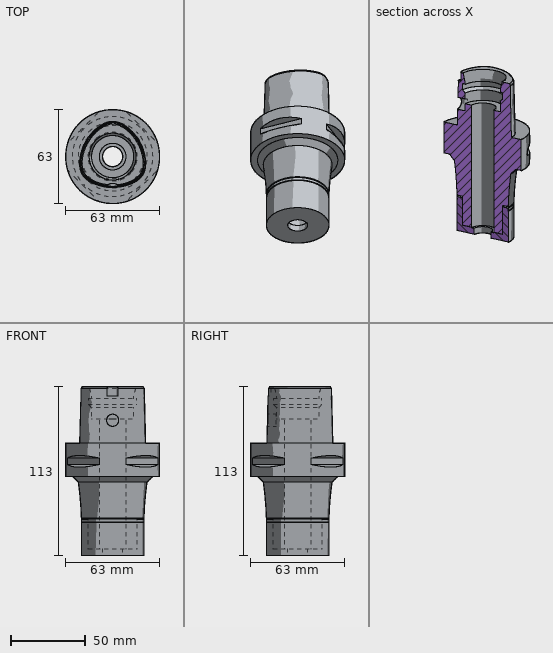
import cadquery as cq
import math

TOTAL_HEIGHT = 113.0
FLANGE_TOP = 75.1
FLANGE_BOTTOM = 52.9
COLLAR_BOTTOM = 49.0
SKIRT_BOTTOM = 25.1
NUT_TOP = 24.4

SHANK_BASE_RADIUS = 22.1
LOBE_HEIGHT = 1.5
SHANK_TAPER = 1 / 40
SHANK_CHAMFER_HEIGHT = 1.4
SHANK_CHAMFER_WIDTH = 0.8

FLANGE_RADIUS = 31.5
COLLAR_TOP_RADIUS = 26.9
SKIRT_TOP_RADIUS = 23.0
SKIRT_BOTTOM_RADIUS = 21.0
SKIRT_HOLLOW = 0.3
NECK_RADIUS = 16.4

GROOVE_COUNT = 4
GROOVE_FLOOR_DISTANCE = 27.7
GROOVE_FLOOR_HEIGHT = 4.2
GROOVE_MOUTH_HEIGHT = 7.8
GROOVE_CENTRE_Z = 63.0

MOUTH_RADIUS = 15.7
BORE_RADIUS = 14.1
MOUTH_DEPTH = 6.2
UNDERCUT_RADIUS = 16.0
UNDERCUT_TOP_DEPTH = 7.9
UNDERCUT_BOTTOM_DEPTH = 12.1
UNDERCUT_END_DEPTH = UNDERCUT_BOTTOM_DEPTH + UNDERCUT_RADIUS - BORE_RADIUS
BORE_FLOOR_Z = 91.5
CHANNEL_RADIUS = 8.9

NOTCH_WIDTH = 7.5
NOTCH_DEPTH = 6.2
NOTCH_BACK_Y = -17.9
NOTCH_EDGE_Y = -19.4
NOTCH_OUTER_Y = -FLANGE_RADIUS
CROSS_HOLE_RADIUS = 4.1
CROSS_HOLE_Z = 90.5
CROSS_HOLE_FLOOR_Y = -14.6

NUT_RADIUS = 21.0
NUT_WALL = 4.5
NUT_HOLE_RADIUS = 6.7
NUT_LINE_Z = 22.4
NUT_LINE_WIDTH = 0.3
NUT_LINE_DEPTH = 0.2


def lobed_wire(mean_radius, z):
    """Constant-width curve with three lobes, one of them pointing to +Y."""
    def point(angle):
        support = mean_radius - LOBE_HEIGHT * math.sin(3 * angle)
        slope = -3 * LOBE_HEIGHT * math.cos(3 * angle)
        x = support * math.cos(angle) - slope * math.sin(angle)
        y = support * math.sin(angle) + slope * math.cos(angle)
        return x, y, z

    samples = 48
    points = [cq.Vector(*point(2 * math.pi * i / samples)) for i in range(samples)]
    return cq.Wire.assembleEdges([cq.Edge.makeSpline(points, periodic=True)])


def make_shank():
    chamfer_z = TOTAL_HEIGHT - SHANK_CHAMFER_HEIGHT
    shoulder_radius = SHANK_BASE_RADIUS - SHANK_TAPER * (chamfer_z - FLANGE_TOP)
    base = lobed_wire(SHANK_BASE_RADIUS, FLANGE_TOP)
    shoulder = lobed_wire(shoulder_radius, chamfer_z)
    tip = lobed_wire(shoulder_radius - SHANK_CHAMFER_WIDTH, TOTAL_HEIGHT)
    taper = cq.Solid.makeLoft([base, shoulder], True)
    chamfer = cq.Solid.makeLoft([shoulder, tip], True)
    return cq.Workplane(taper).union(cq.Workplane(chamfer))


def make_lower_body():
    """Flange, collar, flared skirt and the neck that enters the nut."""
    skirt_mid_radius = (SKIRT_TOP_RADIUS + SKIRT_BOTTOM_RADIUS) / 2 - SKIRT_HOLLOW
    skirt_mid_z = (COLLAR_BOTTOM + SKIRT_BOTTOM) / 2
    return (
        cq.Workplane("XZ")
        .moveTo(0, FLANGE_TOP)
        .lineTo(FLANGE_RADIUS, FLANGE_TOP)
        .lineTo(FLANGE_RADIUS, FLANGE_BOTTOM)
        .lineTo(COLLAR_TOP_RADIUS, FLANGE_BOTTOM)
        .lineTo(SKIRT_TOP_RADIUS, COLLAR_BOTTOM)
        .threePointArc((skirt_mid_radius, skirt_mid_z), (SKIRT_BOTTOM_RADIUS, SKIRT_BOTTOM))
        .lineTo(NECK_RADIUS, SKIRT_BOTTOM)
        .lineTo(NECK_RADIUS, NUT_WALL)
        .lineTo(0, NUT_WALL)
        .close()
        .revolve(360, (0, 0, 0), (0, 1, 0))
    )


def make_bore():
    """Tapered mouth, undercut, straight bore and the narrower channel below."""
    return (
        cq.Workplane("XZ")
        .moveTo(0, TOTAL_HEIGHT)
        .lineTo(MOUTH_RADIUS, TOTAL_HEIGHT)
        .lineTo(BORE_RADIUS, TOTAL_HEIGHT - MOUTH_DEPTH)
        .lineTo(BORE_RADIUS, TOTAL_HEIGHT - UNDERCUT_TOP_DEPTH)
        .lineTo(UNDERCUT_RADIUS, TOTAL_HEIGHT - UNDERCUT_TOP_DEPTH)
        .lineTo(UNDERCUT_RADIUS, TOTAL_HEIGHT - UNDERCUT_BOTTOM_DEPTH)
        .lineTo(BORE_RADIUS, TOTAL_HEIGHT - UNDERCUT_END_DEPTH)
        .lineTo(BORE_RADIUS, BORE_FLOOR_Z)
        .lineTo(CHANNEL_RADIUS, BORE_FLOOR_Z)
        .lineTo(CHANNEL_RADIUS, NUT_WALL)
        .lineTo(0, NUT_WALL)
        .close()
        .revolve(360, (0, 0, 0), (0, 1, 0))
    )


def make_gripper_groove(angle):
    """Straight trapezoidal groove whose flanks open towards the rim."""
    half_floor = GROOVE_FLOOR_HEIGHT / 2
    half_mouth = GROOVE_MOUTH_HEIGHT / 2
    return (
        cq.Workplane("XZ")
        .polyline([
            (GROOVE_FLOOR_DISTANCE, GROOVE_CENTRE_Z - half_floor),
            (FLANGE_RADIUS, GROOVE_CENTRE_Z - half_mouth),
            (FLANGE_RADIUS, GROOVE_CENTRE_Z + half_mouth),
            (GROOVE_FLOOR_DISTANCE, GROOVE_CENTRE_Z + half_floor),
        ])
        .close()
        .extrude(FLANGE_RADIUS, both=True)
        .rotate((0, 0, 0), (0, 0, 1), angle)
    )


def make_key_notch():
    half_width = NOTCH_WIDTH / 2
    return (
        cq.Workplane("XY", origin=(0, 0, TOTAL_HEIGHT - NOTCH_DEPTH))
        .moveTo(-half_width, NOTCH_OUTER_Y)
        .lineTo(-half_width, NOTCH_EDGE_Y)
        .threePointArc((0, NOTCH_BACK_Y), (half_width, NOTCH_EDGE_Y))
        .lineTo(half_width, NOTCH_OUTER_Y)
        .close()
        .extrude(NOTCH_DEPTH)
    )


def make_cross_hole():
    """Flat-floored radial hole in the -Y side, ending just short of the bore."""
    return (
        cq.Workplane("XZ", origin=(0, CROSS_HOLE_FLOOR_Y, CROSS_HOLE_Z))
        .circle(CROSS_HOLE_RADIUS)
        .extrude(FLANGE_RADIUS)
    )


def make_holder():
    holder = make_lower_body().union(make_shank())
    holder = holder.cut(make_bore())
    for i in range(GROOVE_COUNT):
        holder = holder.cut(make_gripper_groove((i + 0.5) * 360 / GROOVE_COUNT))
    holder = holder.cut(make_key_notch())
    return holder.cut(make_cross_hole())


def make_nut():
    """Cup around the neck, with a through hole and a fine line near its top."""
    nut = cq.Workplane("XY").circle(NUT_RADIUS).circle(NUT_HOLE_RADIUS).extrude(NUT_TOP)
    recess = (
        cq.Workplane("XY", origin=(0, 0, NUT_WALL))
        .circle(NECK_RADIUS)
        .extrude(NUT_TOP - NUT_WALL)
    )
    line_groove = (
        cq.Workplane("XY", origin=(0, 0, NUT_LINE_Z - NUT_LINE_WIDTH / 2))
        .circle(NUT_RADIUS)
        .circle(NUT_RADIUS - NUT_LINE_DEPTH)
        .extrude(NUT_LINE_WIDTH)
    )
    return nut.cut(recess).cut(line_groove)


holder = make_holder()
nut = make_nut()
result = cq.Compound.makeCompound([holder.val(), nut.val()])